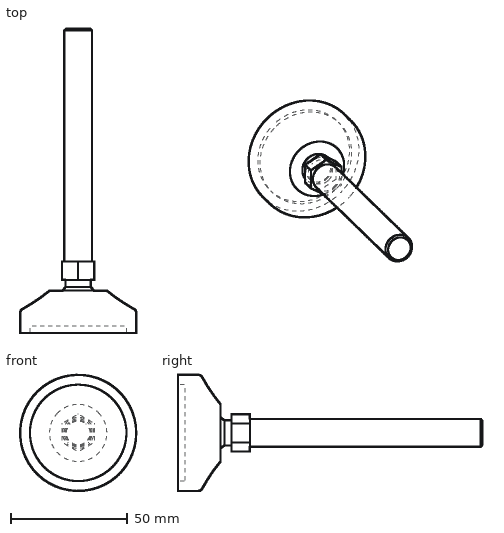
import cadquery as cq
import math

total_length = 131.0

base_radius = 50.0 / 2
rim_height = 8.8
shoulder_round = 1.8
shoulder_slope = math.radians(29)
base_height = 18.3
base_top_radius = 12.3
recess_diameter = 41.5
recess_depth = 3.0

neck_radius = 11.0 / 2
neck_flare = 1.2
neck_flare_top = 19.9

hex_bottom = 22.9
hex_top = 30.9
hex_across_flats = 14.0

stud_diameter = 12.0
stud_chamfer = 0.9


def along_y(start):
    """Workplane at y = start whose normal points toward +Y and local x toward +Z."""
    return cq.Workplane(cq.Plane(origin=(0, start, 0), xDir=(0, 0, 1), normal=(0, 1, 0)))


def make_base_and_neck():
    """Revolve the rim, rounded shoulder, tangent hollow flank and flared neck."""
    round_center_r = base_radius - shoulder_round

    def round_point(angle):
        return (
            round_center_r + shoulder_round * math.cos(angle),
            rim_height + shoulder_round * math.sin(angle),
        )

    round_sweep = math.pi / 2 - shoulder_slope
    shoulder_end = round_point(round_sweep)
    return (
        cq.Workplane("XY")
        .lineTo(base_radius, 0)
        .lineTo(base_radius, rim_height)
        .threePointArc(round_point(round_sweep / 2), shoulder_end)
        .tangentArcPoint((base_top_radius, base_height), relative=False)
        .lineTo(neck_radius + neck_flare, base_height)
        .lineTo(neck_radius, neck_flare_top)
        .lineTo(neck_radius, hex_bottom)
        .lineTo(0, hex_bottom)
        .close()
        .revolve(360, (0, 0, 0), (0, 1, 0))
    )


def make_hexagon():
    """Wrench hexagon with its corners toward +Z and -Z."""
    across_corners = hex_across_flats / math.cos(math.pi / 6)
    return along_y(hex_bottom).polygon(6, across_corners).extrude(hex_top - hex_bottom)


def make_stud():
    """Plain round stud with a chamfered free end."""
    stud = along_y(hex_top).circle(stud_diameter / 2).extrude(total_length - hex_top)
    return stud.faces(">Y").chamfer(stud_chamfer)


recess = along_y(0).circle(recess_diameter / 2).extrude(recess_depth)
result = make_base_and_neck().union(make_hexagon()).union(make_stud()).cut(recess)